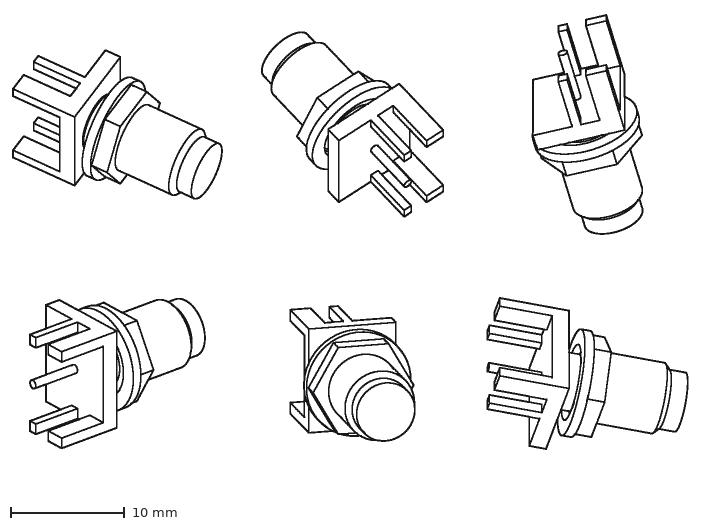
import cadquery as cq

total_length = 17.46
leg_length = 4.77
flange_thickness = 1.54
flange_front = leg_length + flange_thickness
washer_start = 7.55
washer_thickness = 0.85
washer_end = washer_start + washer_thickness
nut_thickness = 1.59
neck_end = 7.8
barrel_start = washer_end
taper_start = 15.45
taper_end = 15.95

flange_height = 9.53
flange_width = 7.95
leg_thickness = 1.01
wide_leg_width = 1.87
pin_diameter = 0.8
narrow_leg_width = pin_diameter

neck_diameter = 5.1
neck_flare = 0.05
neck_flare_length = 0.09
barrel_diameter = 6.35
tip_diameter = 5.33

washer_diameter = flange_height
washer_bore = 6.77
nut_across_corners = 9.18


def disc(diameter, start, length):
    """Solid cylinder along X."""
    return cq.Workplane("YZ", origin=(start, 0, 0)).circle(diameter / 2).extrude(length)


def make_leg(width, center_y, side):
    """Leg along the top (side = 1) or bottom (side = -1) edge of the flange."""
    center_z = side * (flange_height - leg_thickness) / 2
    return (
        cq.Workplane("YZ")
        .center(center_y, center_z)
        .rect(width, leg_thickness)
        .extrude(leg_length)
    )


def make_turned_body():
    """Neck, threaded barrel and stepped tip, revolved about X."""
    neck_radius = neck_diameter / 2
    barrel_radius = barrel_diameter / 2
    tip_radius = tip_diameter / 2
    return (
        cq.Workplane("XY")
        .moveTo(flange_front, 0)
        .lineTo(flange_front, neck_radius + neck_flare)
        .lineTo(flange_front + neck_flare_length, neck_radius)
        .lineTo(neck_end, neck_radius)
        .lineTo(barrel_start, barrel_radius)
        .lineTo(taper_start, barrel_radius)
        .lineTo(taper_end, tip_radius)
        .lineTo(total_length, tip_radius)
        .lineTo(total_length, 0)
        .close()
        .revolve(360, (0, 0, 0), (1, 0, 0))
    )


def make_connector():
    """Flange with four legs and a center pin, joined to the turned body."""
    flange = (
        cq.Workplane("YZ", origin=(leg_length, 0, 0))
        .rect(flange_width, flange_height)
        .extrude(flange_thickness)
    )
    connector = flange.union(make_turned_body())
    connector = connector.union(disc(pin_diameter, 0, leg_length))
    wide_leg_y = (wide_leg_width - flange_width) / 2
    for side in (-1, 1):
        connector = connector.union(make_leg(wide_leg_width, wide_leg_y, side))
        connector = connector.union(make_leg(narrow_leg_width, 0, side))
    return connector


def make_washer():
    """Flat washer loose around the barrel, against the nut."""
    bore = disc(washer_bore, washer_start, washer_thickness)
    return disc(washer_diameter, washer_start, washer_thickness).cut(bore)


def make_nut():
    """Hexagonal nut on the barrel, with two corners pointing along Y."""
    hexagon = (
        cq.Workplane("YZ", origin=(washer_end, 0, 0))
        .polygon(6, nut_across_corners)
        .extrude(nut_thickness)
    )
    return hexagon.cut(disc(barrel_diameter, washer_end, nut_thickness))


connector = make_connector()
washer = make_washer()
nut = make_nut()

result = cq.Compound.makeCompound([connector.val(), washer.val(), nut.val()])